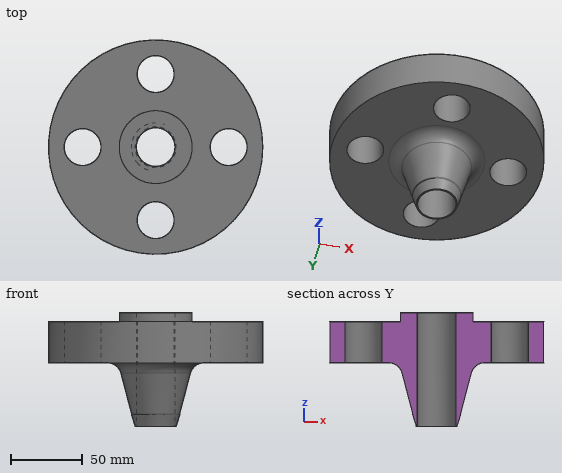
import cadquery as cq
import math

total_height = 79.4
raised_face_height = 6.3
flange_thickness = 28.8
weld_bevel_height = 8.4
land_height = 0.9
flange_bottom = total_height - raised_face_height - flange_thickness
flange_top = flange_bottom + flange_thickness
land_top = weld_bevel_height + land_height

flange_diameter = 149.2
raised_face_diameter = 50.7
bore_diameter = 26.7
tip_diameter = 28.5
land_diameter = 33.7
hub_base_diameter = 52.2
hub_fillet_radius = 9.5

bolt_hole_diameter = 25.5
bolt_circle_diameter = 101.6
bolt_count = 4


def flange_disc():
    return (
        cq.Workplane("XY")
        .workplane(offset=flange_bottom)
        .circle(flange_diameter / 2)
        .extrude(flange_thickness)
    )


def raised_face():
    return (
        cq.Workplane("XY")
        .workplane(offset=flange_top)
        .circle(raised_face_diameter / 2)
        .extrude(raised_face_height)
    )


def tapered_hub():
    """Weld bevel, short cylindrical land, cone and the concave fillet under the flange."""
    land_radius = land_diameter / 2
    hub_base_radius = hub_base_diameter / 2
    cone_height = flange_bottom - land_top
    taper = math.atan2(hub_base_radius - land_radius, cone_height)

    turn = math.pi / 2 - taper
    tangent_length = hub_fillet_radius * math.tan(turn / 2)
    cone_end = (
        hub_base_radius - tangent_length * math.sin(taper),
        flange_bottom - tangent_length * math.cos(taper),
    )
    fillet_end = (hub_base_radius + tangent_length, flange_bottom)
    fillet_middle = (
        fillet_end[0] - hub_fillet_radius * math.sin(turn / 2),
        flange_bottom - hub_fillet_radius * (1 - math.cos(turn / 2)),
    )

    return (
        cq.Workplane("XZ")
        .lineTo(tip_diameter / 2, 0)
        .lineTo(land_radius, weld_bevel_height)
        .lineTo(land_radius, land_top)
        .lineTo(*cone_end)
        .threePointArc(fillet_middle, fillet_end)
        .lineTo(0, flange_bottom)
        .close()
        .revolve(360, (0, 0, 0), (0, 1, 0))
    )


def bore():
    return cq.Workplane("XY").circle(bore_diameter / 2).extrude(total_height)


def bolt_holes():
    return (
        cq.Workplane("XY")
        .workplane(offset=flange_bottom)
        .polarArray(bolt_circle_diameter / 2, 0, 360, bolt_count)
        .circle(bolt_hole_diameter / 2)
        .extrude(flange_thickness)
    )


body = flange_disc().union(raised_face()).union(tapered_hub())
result = body.cut(bore()).cut(bolt_holes())